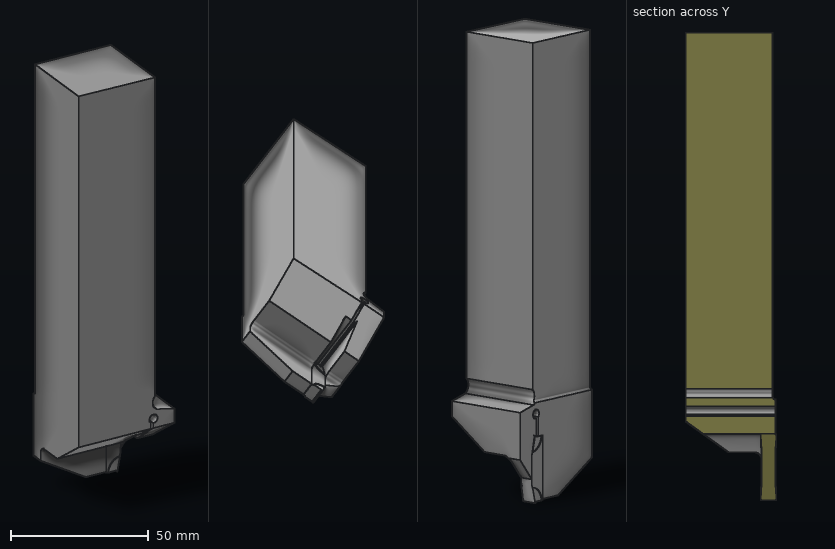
import cadquery as cq

shank_width = 31.6
shank_depth = 32.0
length = 170.0
side_draft = 0.5
head_depth = 40.1
blade_offset = 1.0
step_z = 37.0
blade_thickness = 5.1
blade_fillet = 2.5
head_bottom_z = 17.8
head_bottom_end_x = 16.0
head_slope_top_z = 29.0
blade_x0 = -blade_offset
blade_x1 = blade_x0 + blade_thickness

nose_z = 0.8
nose_y = 19.0
front_chamfer_z = 12.0
jaw_bottom_z = 17.2
jaw_tip_z = 9.0
jaw_top_z = 34.7
ramp_top_y = 32.6
ramp_top_z = 36.4
relief_depth = 1.0
relief_top_z = 41.8
relief_mid_z = 39.3

hole_y = 31.3
hole_z = 32.8
hole_radius = 1.7
slit_y = 30.6
slit_width = 1.0

insert_length = 25.0
insert_back_y = 27.5
insert_crown_y = 33.7
insert_tip_y = 32.1
insert_end_relief = 0.5
crown_start_z = 7.3
cutting_width = 5.8
edge_overhang = 0.3
neck_overhang = 0.2
head_height = 6.0
head_arc_mid = (30.8, 5.0)
head_arc_end_y = 28.4
head_top_y = 33.3
edge_x0 = blade_x0 - edge_overhang
edge_x1 = edge_x0 + cutting_width
insert_middle_z = insert_length / 2


def extrude_x(outline, x_start, x_end):
    """Extrude a closed outline drawn on the YZ plane from x_start to x_end."""
    return outline.extrude(x_end - x_start).translate((x_start, 0, 0))


def extrude_y(outline):
    """Extrude a closed outline drawn on the XZ plane over the full head depth."""
    return outline.extrude(-head_depth)


def insert_outline():
    """Insert side outline, symmetric about its mid-height."""
    return (
        cq.Workplane("YZ")
        .moveTo(insert_back_y, insert_end_relief)
        .lineTo(insert_tip_y - insert_end_relief, insert_end_relief)
        .lineTo(insert_tip_y, 0)
        .lineTo(insert_crown_y, crown_start_z)
        .lineTo(insert_crown_y, insert_length - crown_start_z)
        .lineTo(insert_tip_y, insert_length)
        .lineTo(insert_tip_y - insert_end_relief, insert_length - insert_end_relief)
        .lineTo(insert_back_y, insert_length - insert_end_relief)
        .close()
    )


def width_profile():
    """Holder seen along Y: shank, stepped head and thin blade."""
    return extrude_y(
        cq.Workplane("XZ")
        .moveTo(blade_x0, 0)
        .lineTo(blade_x1, 0)
        .lineTo(blade_x1, head_bottom_z - blade_fillet)
        .radiusArc((blade_x1 + blade_fillet, head_bottom_z), blade_fillet)
        .lineTo(head_bottom_end_x, head_bottom_z)
        .lineTo(shank_width, head_slope_top_z)
        .lineTo(shank_width, length)
        .lineTo(0, length)
        .lineTo(0, step_z + blade_offset)
        .radiusArc((blade_x0, step_z), blade_offset)
        .close()
    )


def depth_profile():
    """Holder seen along X: shank, relieved corner, jaw and sloped nose."""
    return extrude_x(
        cq.Workplane("YZ")
        .moveTo(0, length)
        .lineTo(0, front_chamfer_z)
        .lineTo(nose_y, nose_z)
        .lineTo(insert_back_y, nose_z)
        .lineTo(insert_crown_y, jaw_tip_z)
        .lineTo(head_depth, jaw_bottom_z)
        .lineTo(head_depth, jaw_top_z)
        .lineTo(ramp_top_y, ramp_top_z)
        .threePointArc((shank_depth - relief_depth, relief_mid_z), (shank_depth, relief_top_z))
        .lineTo(shank_depth, length)
        .close(),
        blade_x0,
        shank_width,
    )


def side_draft_cut():
    """Wedge that leans the +X side inward toward y = 0."""
    return (
        cq.Workplane("XY")
        .polyline([(shank_width, 0), (shank_width - side_draft, 0), (shank_width, shank_depth)])
        .close()
        .extrude(length)
    )


def clamping_slit():
    """Slit from the insert pocket up to a round hole, through the head."""
    slit_bottom_z = insert_length - 2 * insert_end_relief
    slit = (
        cq.Workplane("YZ")
        .center(slit_y, (slit_bottom_z + hole_z) / 2)
        .rect(slit_width, hole_z - slit_bottom_z)
    )
    hole = cq.Workplane("YZ").center(hole_y, hole_z).circle(hole_radius)
    return extrude_x(slit, blade_x0, shank_width).union(extrude_x(hole, blade_x0, shank_width))


def make_holder():
    pocket = extrude_x(insert_outline(), edge_x0, shank_width)
    return (
        width_profile()
        .intersect(depth_profile())
        .cut(side_draft_cut())
        .cut(pocket)
        .cut(clamping_slit())
    )


def make_cutting_head():
    """Lower end of the insert, widening from the blade thickness to the cutting edge."""
    taper = extrude_y(
        cq.Workplane("XZ")
        .polyline([
            (edge_x0, 0),
            (edge_x1, 0),
            (blade_x1 + neck_overhang, head_height),
            (blade_x0 - neck_overhang, head_height),
        ])
        .close()
    )
    side = extrude_x(
        cq.Workplane("YZ")
        .moveTo(head_arc_end_y, 0)
        .threePointArc(head_arc_mid, (head_top_y, head_height))
        .lineTo(insert_crown_y, head_height)
        .lineTo(insert_crown_y, 0)
        .close(),
        edge_x0,
        edge_x1,
    )
    return taper.intersect(side).intersect(extrude_x(insert_outline(), edge_x0, edge_x1))


def make_insert():
    lower_head = make_cutting_head()
    upper_head = lower_head.mirror("XY", (0, 0, insert_middle_z))
    body = extrude_x(insert_outline(), blade_x0, blade_x1)
    return body.union(lower_head).union(upper_head)


holder = make_holder()
insert = make_insert()
result = cq.Compound.makeCompound([holder.solids().val(), insert.solids().val()])